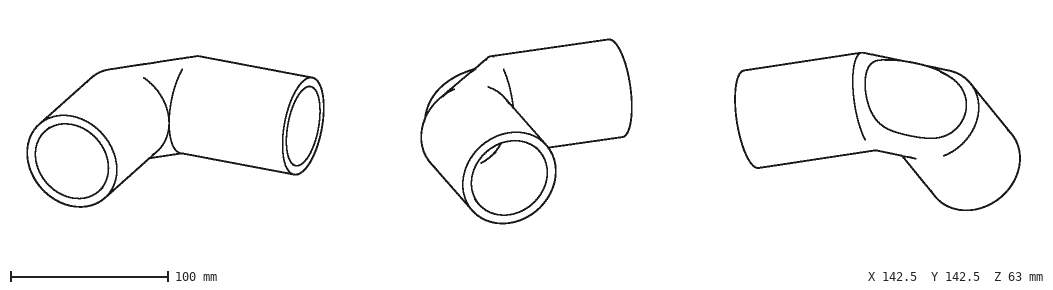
import cadquery as cq
import math

overall = 142.5
outer_diameter = 63.0
bore_diameter = 51.3
bend_angle = 90.0

outer_radius = outer_diameter / 2
bore_radius = bore_diameter / 2
leg_length = overall - outer_diameter

y_leg_plane = cq.Plane(origin=(-outer_radius, 0, 0), xDir=(1, 0, 0), normal=(0, -1, 0))
x_leg_plane = cq.Plane(origin=(0, outer_radius, 0), xDir=(0, 1, 0), normal=(1, 0, 0))


def legs(radius):
    """Two straight round bars of the given radius, one along each leg."""
    y_leg = cq.Workplane(y_leg_plane).circle(radius).extrude(leg_length)
    x_leg = cq.Workplane(x_leg_plane).circle(radius).extrude(leg_length)
    return y_leg.union(x_leg)


def diagonal_corner(radius):
    """Oblique bar along (1, 1) joining the end circles of the two legs."""
    narrow_radius = radius / math.sqrt(2)
    diagonal_plane = cq.Plane(
        origin=(-outer_diameter - outer_radius, -outer_diameter, 0),
        xDir=(1, -1, 0),
        normal=(1, 1, 0),
    )
    bar_length = 4 * outer_diameter
    bar = cq.Workplane(diagonal_plane).ellipse(narrow_radius, radius).extrude(bar_length)
    corner_block = cq.Workplane("XY").box(outer_diameter, outer_diameter, outer_diameter)
    return bar.intersect(corner_block.translate((-outer_radius, outer_radius, 0)))


def bulge():
    """Quarter torus of bore radius, bent around the inside corner."""
    bend_plane = cq.Workplane("XZ").center(-outer_radius, 0)
    return bend_plane.circle(bore_radius).revolve(bend_angle, (outer_radius, 0), (outer_radius, -1))


outside = legs(outer_radius).union(diagonal_corner(outer_radius)).union(bulge())
bore = legs(bore_radius).union(diagonal_corner(bore_radius))
result = outside.cut(bore)